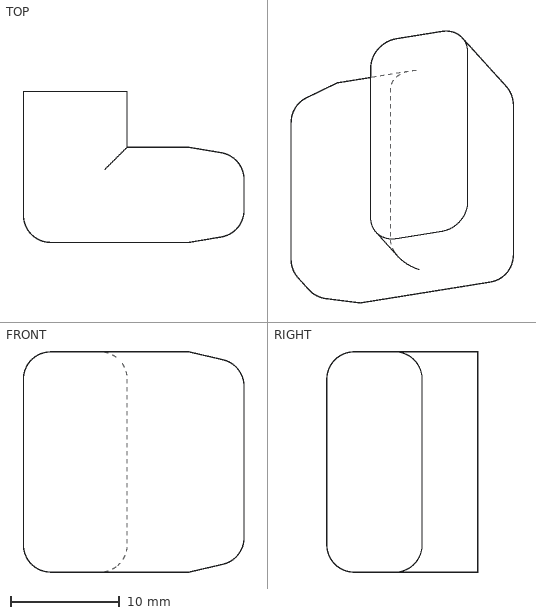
import cadquery as cq
import math

length = 20.35
depth = 13.92
height = 20.32
leg_width = 9.57
arm_thickness = 8.79
taper_start = 15.24
side_taper_angle = 9.5
top_taper_angle = 13.0
edge_radius = 2.54

side_slope = math.tan(math.radians(side_taper_angle))
top_slope = math.tan(math.radians(top_taper_angle))
overrun = edge_radius


def rounded_elbow():
    """L-shaped body with an overlong straight arm; its leg end and inner corner stay sharp."""
    arm_end = length + overrun
    outline = [
        (0, 0),
        (arm_end, 0),
        (arm_end, arm_thickness),
        (leg_width, arm_thickness),
        (leg_width, depth),
        (0, depth),
    ]
    elbow = cq.Workplane("XY").polyline(outline).close().extrude(height)
    corner_edge = cq.selectors.NearestToPointSelector((0, 0, height / 2))
    rims = elbow.edges("#Z").edges("not(>X or >Y)")
    return rims.add(elbow.edges(corner_edge)).fillet(edge_radius)


def tapered_slab(plane, width, slope, thickness):
    """Symmetric trapezoid that is `width` wide at the taper start and narrows toward the tip."""
    root_growth = (taper_start - leg_width) * slope
    tip_inset = (length - taper_start) * slope
    outline = [
        (leg_width, -root_growth),
        (length, tip_inset),
        (length, width - tip_inset),
        (leg_width, width + root_growth),
    ]
    return cq.Workplane(plane).polyline(outline).close().extrude(thickness, both=True)


def tip_envelope():
    """Four-sided taper around the arm, rounded everywhere except at its wide root."""
    reach = length + height
    plan_taper = tapered_slab("XY", arm_thickness, side_slope, reach)
    elevation_taper = tapered_slab("XZ", height, top_slope, reach)
    envelope = plan_taper.intersect(elevation_taper)
    return envelope.edges("not <X").fillet(edge_radius)


def leg_envelope():
    """Plain block that keeps the whole leg side of the elbow."""
    return cq.Workplane("XY").box(leg_width, depth, height, centered=False)


result = rounded_elbow().intersect(leg_envelope().union(tip_envelope())).clean()